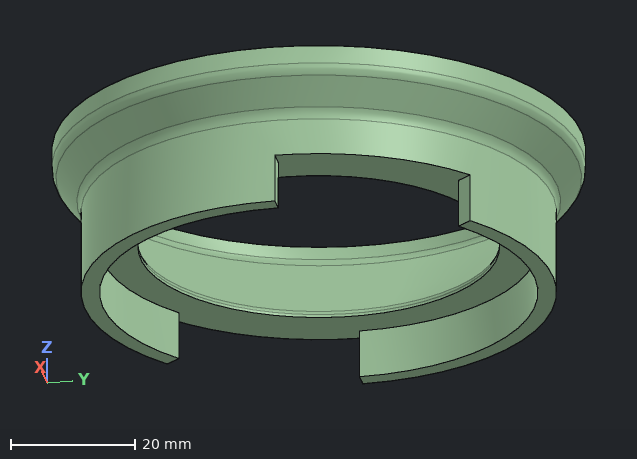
import cadquery as cq
import math

total_height = 24.93
rim_diameter = 86.0
rim_bore_diameter = 80.0
skirt_diameter = 76.6
throat_diameter = 58.3

rim_radius = rim_diameter / 2
rim_bore_radius = rim_bore_diameter / 2
skirt_radius = skirt_diameter / 2
throat_radius = throat_diameter / 2
wall = rim_radius - rim_bore_radius
skirt_bore_radius = skirt_radius - wall

flare_top_depth = 4.1
flare_bottom_depth = 9.8
flare_top_z = total_height - flare_top_depth
flare_bottom_z = total_height - flare_bottom_depth
outer_blend_radius = 2.9

flare_angle = math.atan2(rim_radius - skirt_radius, flare_top_z - flare_bottom_z)
funnel_top_depth = 2.9
funnel_top_z = total_height - funnel_top_depth
funnel_height = (rim_bore_radius - throat_radius) / math.tan(flare_angle)
funnel_bottom_z = funnel_top_z - funnel_height
rim_blend_radius = 2.0
throat_blend_radius = 1.0

notch_height = 8.0
notch_angle = 50.2
notch_starts = (0, 180)


def blend_points(corner_radius, corner_z, blend_radius, flare_below):
    """Start, middle and end (top to bottom) of the arc rounding a flare corner.

    flare_below is True where the sloped line leaves the corner downward and inward,
    False where it arrives from above and outside.
    """
    length = blend_radius * math.tan(flare_angle / 2)
    slope_r = length * math.sin(flare_angle)
    slope_z = length * math.cos(flare_angle)
    mid_in = blend_radius * (1 - math.cos(flare_angle / 2))
    mid_z = length - blend_radius * math.sin(flare_angle / 2)
    if flare_below:
        top = (corner_radius, corner_z + length)
        middle = (corner_radius - mid_in, corner_z + mid_z)
        bottom = (corner_radius - slope_r, corner_z - slope_z)
    else:
        top = (corner_radius + slope_r, corner_z + slope_z)
        middle = (corner_radius + mid_in, corner_z - mid_z)
        bottom = (corner_radius, corner_z - length)
    return top, middle, bottom


def ring_body():
    """Revolve the half section of the ring about Z."""
    rim_top, rim_middle, rim_bottom = blend_points(rim_radius, flare_top_z, outer_blend_radius, True)
    neck_top, neck_middle, neck_bottom = blend_points(
        skirt_radius, flare_bottom_z, outer_blend_radius, False
    )
    funnel_top, funnel_middle, funnel_bottom = blend_points(
        rim_bore_radius, funnel_top_z, rim_blend_radius, True
    )
    throat_top, throat_middle, throat_bottom = blend_points(
        throat_radius, funnel_bottom_z, throat_blend_radius, False
    )
    section = (
        cq.Workplane("XZ")
        .moveTo(rim_bore_radius, total_height)
        .lineTo(rim_radius, total_height)
        .lineTo(*rim_top)
        .threePointArc(rim_middle, rim_bottom)
        .lineTo(*neck_top)
        .threePointArc(neck_middle, neck_bottom)
        .lineTo(skirt_radius, 0)
        .lineTo(skirt_bore_radius, 0)
        .lineTo(skirt_bore_radius, notch_height)
        .lineTo(throat_radius, notch_height)
        .lineTo(*throat_bottom)
        .threePointArc(throat_middle, throat_top)
        .lineTo(*funnel_bottom)
        .threePointArc(funnel_middle, funnel_top)
        .close()
    )
    return section.revolve(360, (0, 0, 0), (0, 1, 0))


def notch_cutter(start_angle):
    """Wedge that removes the skirt from start_angle through notch_angle degrees."""
    reach = 2 * rim_radius
    end = math.radians(notch_angle)
    wedge = (
        cq.Workplane("XY")
        .polyline([(0, 0), (reach, 0), (reach * math.cos(end), reach * math.sin(end))])
        .close()
        .extrude(notch_height)
    )
    return wedge.rotate((0, 0, 0), (0, 0, 1), start_angle)


result = ring_body()
for notch_start in notch_starts:
    result = result.cut(notch_cutter(notch_start))